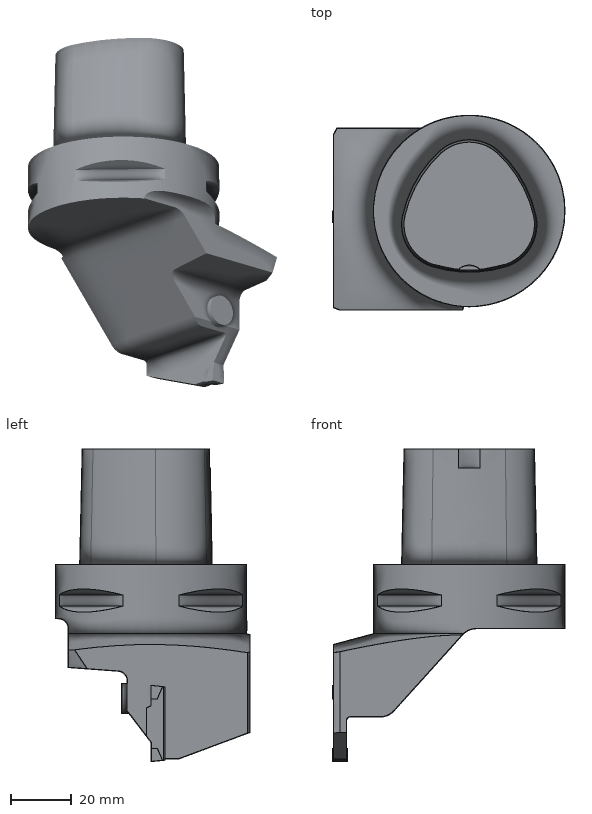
import cadquery as cq
import math


shank_height = 38.0
lobe_reach = 23.5
flank_reach = 20.2
joint_reach = 22.0
joint_half_angle = 34.1
shank_taper = 0.8
key_groove_diameter = 10.0
key_groove_depth = 1.5
key_groove_height = 6.4

flange_radius = 31.5
flange_bottom = -21.2
notch_floor = 27.8
notch_middle = -11.9
notch_angles = (45, 135, 225, 315)
cut_clearance = 1.0
notch_floor_width = 3.6
notch_mouth_width = 7.6

shoulder_top = -22.9
shoulder_angle = 15
envelope_radius = 61.8
envelope_bottom = -72.1

head_left = -44.7
head_front = -32.7
head_back = 27.3
blade_thickness = 4.3
head_bottom = -50.3
ramp_top_x = -0.4
ramp_bottom_x = -26.6
ramp_rounding = 6.2
blade_rounding = 1.2
back_step = -17.9
back_rounding = 3.1
back_bottom = -34.0
clamp_face = 7.8
clamp_top = -35.4
clamp_bottom = -48.3
nose_bottom = -58.6
blade_bottom = -64.1
blade_bottom_front = -9.2
blade_front_bottom = -55.3
front_chamfer_x = 2.2
front_chamfer_y = 0.8
back_chamfer_x = 1.1
back_chamfer_y = 2.2
back_chamfer_top = -28.2
back_chamfer_growth = 4.0
back_chamfer_drop = 6.0

screw_diameter = 10.0
screw_x = -35.0
screw_z = -44.2
screw_top = 9.7
screw_seat = 3.1

insert_top = -39.9
insert_bottom = -65.0
insert_depth = 4.6
insert_chamfer = 0.5
cutting_overhang = 0.3
end_relief = 0.5
tip_length = 4.4
tip_flat = 2.1
tip_depth = 3.8
ridge_height = 1.4
ridge_top = -46.6
ridge_slope = 0.7

blade_right = head_left + blade_thickness


def polar(reach, angle):
    return (reach * math.cos(math.radians(angle)), reach * math.sin(math.radians(angle)))


def shank_outline(height, inset):
    """Closed outline of three flank arcs joined by three lobe arcs."""
    joint = joint_reach - inset
    outline = cq.Workplane("XY", origin=(0, 0, height)).moveTo(*polar(joint, -90 - joint_half_angle))
    for flank_angle in (-90, 30, 150):
        outline = outline.threePointArc(
            polar(flank_reach - inset, flank_angle), polar(joint, flank_angle + joint_half_angle)
        ).threePointArc(
            polar(lobe_reach - inset, flank_angle + 60), polar(joint, flank_angle + 120 - joint_half_angle)
        )
    return outline.close().val()


def make_shank():
    body = cq.Workplane(
        cq.Solid.makeLoft([shank_outline(0, 0), shank_outline(shank_height, shank_taper)], True)
    )
    groove_y = -(flank_reach - shank_taper) + key_groove_depth - key_groove_diameter / 2
    groove = (
        cq.Workplane("XY", origin=(0, groove_y, shank_height - key_groove_height))
        .circle(key_groove_diameter / 2)
        .extrude(key_groove_height)
    )
    return body.cut(groove)


def make_envelope():
    """Turned shape: flange cylinder running out into the conical shoulder."""
    shoulder_drop = (envelope_radius - flange_radius) * math.tan(math.radians(shoulder_angle))
    return (
        cq.Workplane("XZ")
        .polyline([
            (0, 0),
            (flange_radius, 0),
            (flange_radius, shoulder_top),
            (envelope_radius, shoulder_top - shoulder_drop),
            (envelope_radius, envelope_bottom),
            (0, envelope_bottom),
        ])
        .close()
        .revolve(360, (0, 0), (0, 1))
    )


def round_edge(body, x, y, z, radius):
    return body.edges(cq.selectors.NearestToPointSelector((x, y, z))).fillet(radius)


def make_front_profile():
    """XZ outline: flange, ramp, head and thin blade."""
    body = (
        cq.Workplane("XZ")
        .polyline([
            (head_left, 0),
            (flange_radius, 0),
            (flange_radius, flange_bottom),
            (ramp_top_x, flange_bottom),
            (ramp_bottom_x, head_bottom),
            (blade_right, head_bottom),
            (blade_right, blade_bottom),
            (head_left, blade_bottom),
        ])
        .close()
        .extrude(envelope_radius, both=True)
    )
    body = round_edge(body, ramp_top_x, 0, flange_bottom, ramp_rounding)
    body = round_edge(body, ramp_bottom_x, 0, head_bottom, ramp_rounding)
    return round_edge(body, blade_right, 0, head_bottom, blade_rounding)


def make_side_profile():
    """YZ outline: stepped back, clamp face, nose and sloping blade bottom."""
    body = (
        cq.Workplane("YZ")
        .polyline([
            (head_front, 0),
            (flange_radius, 0),
            (flange_radius, back_step),
            (head_back, back_step),
            (head_back, back_bottom),
            (clamp_face, clamp_top),
            (clamp_face, clamp_bottom),
            (0, nose_bottom),
            (0, blade_bottom),
            (blade_bottom_front, blade_bottom),
            (head_front, blade_front_bottom),
        ])
        .close()
        .extrude(envelope_radius, both=True)
    )
    body = round_edge(body, 0, head_back, back_step, back_rounding)
    return round_edge(body, 0, clamp_face, clamp_top, back_rounding)


def make_notch(angle):
    """Gripper notch with a flat floor and flared sides."""
    flare = (notch_mouth_width - notch_floor_width) / 2 / (flange_radius - notch_floor)
    cutter_reach = flange_radius + cut_clearance
    floor_half = notch_floor_width / 2
    mouth_half = floor_half + flare * (cutter_reach - notch_floor)
    return (
        cq.Workplane("XZ")
        .polyline([
            (notch_floor, notch_middle - floor_half),
            (cutter_reach, notch_middle - mouth_half),
            (cutter_reach, notch_middle + mouth_half),
            (notch_floor, notch_middle + floor_half),
        ])
        .close()
        .extrude(flange_radius, both=True)
        .rotate((0, 0, 0), (0, 0, 1), angle)
    )


def make_front_chamfer():
    """Cutter for the vertical front edge of the head."""
    return (
        cq.Workplane("XY", origin=(0, 0, envelope_bottom))
        .polyline([
            (head_left, head_front),
            (head_left + front_chamfer_x, head_front),
            (head_left, head_front + front_chamfer_y),
        ])
        .close()
        .extrude(shoulder_top - envelope_bottom)
    )


def back_chamfer_section(height):
    """Corner triangle of the back chamfer at one height."""
    size_y = back_chamfer_y + back_chamfer_growth * (back_chamfer_top - height) / back_chamfer_drop
    size_x = size_y * back_chamfer_x / back_chamfer_y
    return cq.Wire.makePolygon([
        cq.Vector(head_left, head_back, height),
        cq.Vector(head_left + size_x, head_back, height),
        cq.Vector(head_left, head_back - size_y, height),
    ], close=True)


def make_back_chamfer():
    """Cutter for the back edge of the head, widening downward."""
    upper = back_chamfer_top + cut_clearance
    lower = back_bottom - back_rounding
    return cq.Workplane(cq.Solid.makeLoft([back_chamfer_section(lower), back_chamfer_section(upper)], True))


def make_screw_head():
    return (
        cq.Workplane("XZ", origin=(screw_x, screw_top, screw_z))
        .circle(screw_diameter / 2)
        .extrude(screw_top - screw_seat)
    )


def extrude_insert_outline(points, overhang):
    """Extrude a YZ outline across the blade, past each side by the overhang."""
    return (
        cq.Workplane("YZ", origin=(head_left - overhang, 0, 0))
        .polyline(points)
        .close()
        .extrude(blade_thickness + 2 * overhang)
    )


def make_insert_bar():
    """Straight bar whose ends fall back behind the cutting edges."""
    return extrude_insert_outline([
        (0, insert_bottom),
        (0, insert_top),
        (-insert_depth, insert_top - end_relief),
        (-insert_depth, insert_bottom + end_relief),
    ], 0)


def make_insert_ridge():
    nose_slope = (clamp_bottom - nose_bottom) / clamp_face
    return extrude_insert_outline([
        (0, ridge_top),
        (ridge_height, ridge_top - ridge_slope),
        (ridge_height, nose_bottom + nose_slope * ridge_height),
        (0, nose_bottom),
    ], 0)


def make_insert_tip(end, inward):
    """Cutting tip at one end; inward is the Z sense toward the insert's middle."""
    relief_at_foot = end_relief * tip_depth / insert_depth
    return extrude_insert_outline([
        (0, end),
        (0, end + inward * tip_length),
        (-tip_flat, end + inward * tip_length),
        (-tip_depth, end + inward * relief_at_foot),
    ], cutting_overhang)


def make_insert(bar):
    """Double-ended insert: bar with a beveled back edge, clamping ridge and two cutting tips."""
    return (
        bar.edges("<X and <Y")
        .chamfer(insert_chamfer)
        .union(make_insert_ridge())
        .union(make_insert_tip(insert_top, -1))
        .union(make_insert_tip(insert_bottom, 1))
    )


def make_holder(pocket_bar, seated_insert):
    body = make_envelope().intersect(make_front_profile()).intersect(make_side_profile())
    body = body.cut(make_front_chamfer()).cut(make_back_chamfer())
    for angle in notch_angles:
        body = body.cut(make_notch(angle))
    return body.union(make_shank()).union(make_screw_head()).cut(pocket_bar).cut(seated_insert)


insert_bar = make_insert_bar()
insert = make_insert(insert_bar)
holder = make_holder(insert_bar, insert)
result = cq.Compound.makeCompound([holder.solids().val(), insert.solids().val()])